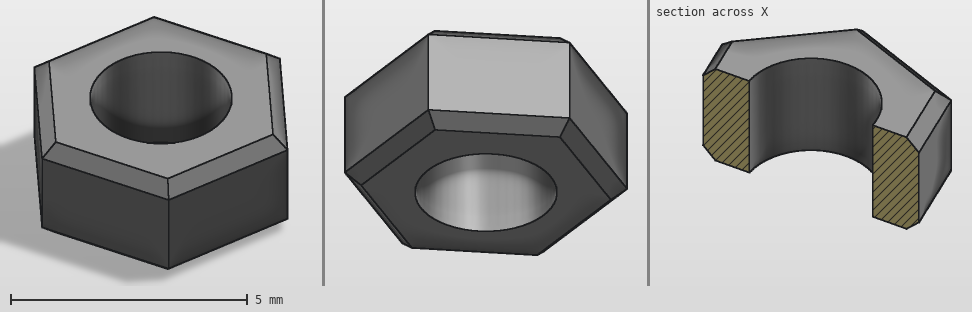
import cadquery as cq

CORNER_DIAMETER = 6.0
HEIGHT = 2.5
BORE_DIAMETER = 3.0
CHAMFER = 0.3
CORNER_ANGLE = 8.4
HEX_SIDES = 6


def make_hex_body():
    """Hexagonal prism with both end rims chamfered and one corner on +X."""
    prism = cq.Workplane("XY").polygon(HEX_SIDES, CORNER_DIAMETER).extrude(HEIGHT)
    return prism.faces("<Z or >Z").chamfer(CHAMFER)


def cut_bore(body):
    """Plain round hole through the full height."""
    return body.faces(">Z").workplane().hole(BORE_DIAMETER)


nut = cut_bore(make_hex_body())
result = nut.rotate((0, 0, 0), (0, 0, 1), CORNER_ANGLE)